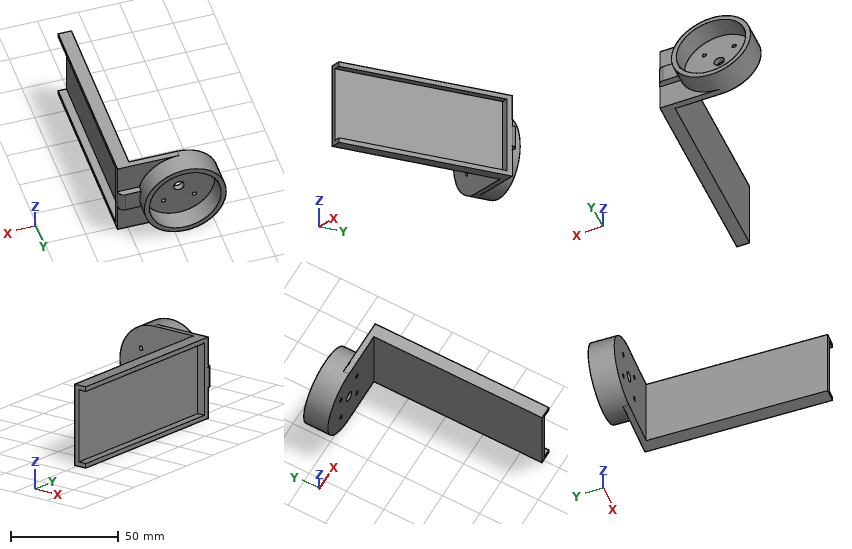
import cadquery as cq

total_width = 50.0
total_length = 103.0
height = 40.0

cup_radius = height / 2
cup_depth = 13.0
plate_thickness = 3.0
pocket_radius = 17.5
shaft_hole_diameter = 5.0
screw_hole_diameter = 2.0
screw_spacing = 15.0

arm_width = 6.5
web_thickness = 2.5
flange_thickness = 2.3

tab_thickness = 3.0
tab_height = 10.0
tab_corner_radius = 2.9

outer_x = total_width - cup_radius
arm_inner_x = outer_x - arm_width
arm_length = total_length - cup_depth


def box(x_start, x_end, y_start, y_end, z_size):
    """Box between the given X and Y limits, centred on Z = 0."""
    size_x = x_end - x_start
    size_y = y_end - y_start
    return (
        cq.Workplane("XY")
        .box(size_x, size_y, z_size)
        .translate(((x_start + x_end) / 2, (y_start + y_end) / 2, 0))
    )


def cylinder(radius, y_start, y_end, x=0, z=0):
    """Cylinder along Y between the given limits."""
    return cq.Workplane(
        cq.Solid.makeCylinder(radius, y_end - y_start, cq.Vector(x, y_start, z), cq.Vector(0, 1, 0))
    )


def make_arm():
    """Arm along -Y, with a channel open toward +X and at its free end."""
    arm = box(arm_inner_x, outer_x, -arm_length, plate_thickness, height)
    channel_height = height - 2 * flange_thickness
    channel = box(arm_inner_x + web_thickness, outer_x, -arm_length, 0, channel_height)
    return arm.cut(channel)


def make_tab():
    """Tab joining the cup wall to the outer end of the plate."""
    tab = box(0, outer_x, plate_thickness, plate_thickness + tab_thickness, tab_height)
    return tab.edges("|Z and >X and >Y").fillet(tab_corner_radius)


plate = box(0, outer_x, 0, plate_thickness, height)
cup = cylinder(cup_radius, 0, cup_depth)
body = cup.union(plate).union(make_arm()).union(make_tab())

body = body.cut(cylinder(pocket_radius, plate_thickness, cup_depth))

body = body.cut(cylinder(shaft_hole_diameter / 2, 0, plate_thickness))
for x_side in (-1, 1):
    for z_side in (-1, 1):
        screw_hole = cylinder(
            screw_hole_diameter / 2,
            0,
            plate_thickness,
            x_side * screw_spacing / 2,
            z_side * screw_spacing / 2,
        )
        body = body.cut(screw_hole)

result = body